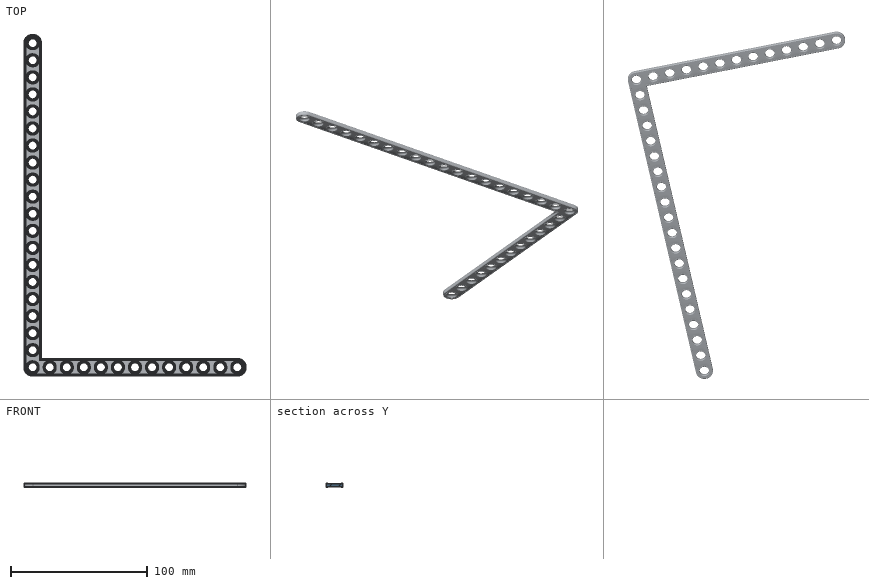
import cadquery as cq

pitch = 12.5
holes_along_x = 13
holes_along_y = 20
hole_diameter = 7.0
edge_chamfer = 0.3
rim_width = 1.1
recess_depth = 0.2

thickness = pitch / 4
boss_diameter = hole_diameter + 2 * rim_width
recess_width = pitch - 2 * rim_width

x_centres = [(i * pitch, 0) for i in range(holes_along_x)]
y_centres = [(0, i * pitch) for i in range(1, holes_along_y)]
hole_centres = x_centres + y_centres


def arm(hole_count, width, height):
    """Round-ended bar along +X, with its first hole position at the origin."""
    span = (hole_count - 1) * pitch
    return (
        cq.Workplane("XY")
        .center(span / 2, 0)
        .slot2D(span + width, width)
        .extrude(height)
    )


def angle_bar(width, height):
    """L-shaped bar: one arm along +X and one along +Y sharing the corner position."""
    x_arm = arm(holes_along_x, width, height)
    y_arm = arm(holes_along_y, width, height).rotate((0, 0, 0), (0, 0, 1), 90)
    return x_arm.union(y_arm).clean()


def face_recess():
    """Material removed from one face: the area inside the rim, less the hole bosses."""
    bosses = (
        cq.Workplane("XY")
        .pushPoints(hole_centres)
        .circle(boss_diameter / 2)
        .extrude(recess_depth)
    )
    return angle_bar(recess_width, recess_depth).cut(bosses)


def hole_cutter():
    """Turned shape of one through hole with a chamfered mouth at each face."""
    hole_radius = hole_diameter / 2
    mouth_radius = hole_radius + edge_chamfer
    return (
        cq.Workplane("XZ")
        .moveTo(0, 0)
        .lineTo(mouth_radius, 0)
        .lineTo(hole_radius, edge_chamfer)
        .lineTo(hole_radius, thickness - edge_chamfer)
        .lineTo(mouth_radius, thickness)
        .lineTo(0, thickness)
        .close()
        .revolve(360, (0, 0, 0), (0, 1, 0))
        .val()
    )


plate = angle_bar(pitch, thickness).faces("|Z").chamfer(edge_chamfer)

recess = face_recess()
plate = plate.cut(recess)
plate = plate.cut(recess.translate((0, 0, thickness - recess_depth)))

cutter = hole_cutter()
holes = cq.Workplane("XY").pushPoints(hole_centres).eachpoint(lambda place: cutter.moved(place))

result = plate.cut(holes)